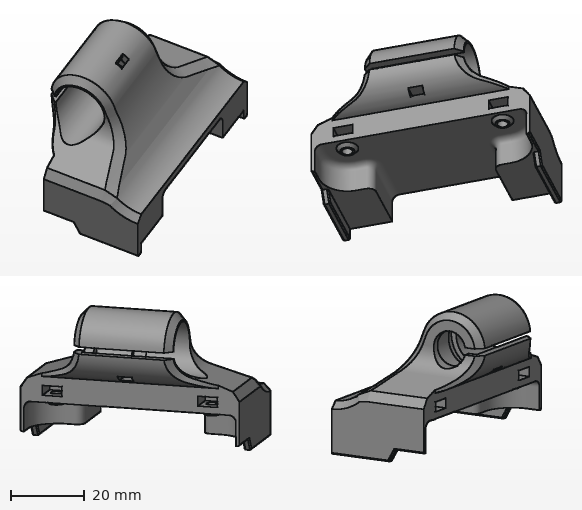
import cadquery as cq
import math

body_left = -2.0
body_right = 27.0
half_length = 31.0
slab_bottom = -17.0
edge_chamfer = 2.0

barrel_radius = 10.0
barrel_half_length = 14.0
bore_radius = 5.0
cavity_radius = 7.5
end_wall = 2.0
slit_width = 2.0

back_start_angle = math.radians(20)
back_join_angle = math.radians(44.1)
back_radius = 40.0

flank_radius = 7.0
flank_slope = math.radians(20)

leg_bottom = -25.5
leg_chamfer = 0.4
screw_inset = 4.0
screw_x = body_left + screw_inset
screw_y = 22.0
leg_wall = 1.0
pocket_radius = half_length - leg_wall - screw_y
pocket_fillet = 2.0
leg_inner_y = 17.0
leg_corner_radius = 2.2

foot_bottom = -29.0
foot_thickness = 2.0
foot_start = 7.0
foot_toe = 9.0

screw_diameter = 3.0
boss_diameter = 6.0
boss_height = 1.0
nut_width = 5.5
nut_slot_height = 2.75
nut_slot_bottom = -15.05

tie_width = 4.0
tie_groove_radius = 9.0
tie_top_left = 4.4
tie_top_right = 6.3
tie_side_top = -7.15
tie_side_bottom = -8.6

over = 5.0
tolerance = 0.01
parallel = 0.999


def circle_point(center, radius, angle):
    """Point on a circle, with the angle taken from the first sketch axis."""
    return (center[0] + radius * math.cos(angle), center[1] + radius * math.sin(angle))


def side_prism():
    """Barrel, back surface and slab as seen along Y."""
    barrel = (0.0, 0.0)
    start = circle_point(barrel, barrel_radius, back_start_angle)
    back_center = circle_point(barrel, barrel_radius + back_radius, back_start_angle)
    back_mid_angle = math.pi + (back_start_angle + back_join_angle) / 2
    back_mid = circle_point(back_center, back_radius, back_mid_angle)
    join = circle_point(back_center, back_radius, math.pi + back_join_angle)

    tail_radius = (body_right - join[0]) / math.cos(back_join_angle)
    tail_center = (body_right, join[1] + tail_radius * math.sin(back_join_angle))
    tail_mid_angle = math.pi + (back_join_angle + math.pi / 2) / 2
    tail_mid = circle_point(tail_center, tail_radius, tail_mid_angle)
    tail_end = (body_right, tail_center[1] - tail_radius)

    barrel_end = (body_left, -math.sqrt(barrel_radius**2 - body_left**2))
    sketch = (
        cq.Workplane("XZ")
        .moveTo(*barrel_end)
        .threePointArc((-barrel_radius, 0), start)
        .threePointArc(back_mid, join)
        .threePointArc(tail_mid, tail_end)
        .lineTo(body_right, slab_bottom)
        .lineTo(body_left, slab_bottom)
        .close()
    )
    return sketch.extrude(half_length + over, both=True)


def flank_prism():
    """Barrel end, flank arc and slope of the +Y half as seen along X."""
    center = (barrel_half_length + flank_radius, 0.0)
    arc_end_angle = 1.5 * math.pi - flank_slope
    arc_mid = circle_point(center, flank_radius, (math.pi + arc_end_angle) / 2)
    arc_end = circle_point(center, flank_radius, arc_end_angle)
    edge_z = arc_end[1] - (half_length - arc_end[0]) * math.tan(flank_slope)
    sketch = (
        cq.Workplane("YZ")
        .moveTo(0, slab_bottom)
        .lineTo(0, barrel_radius + over)
        .lineTo(barrel_half_length, barrel_radius + over)
        .lineTo(barrel_half_length, center[1])
        .threePointArc(arc_mid, arc_end)
        .lineTo(half_length, edge_z)
        .lineTo(half_length, slab_bottom)
        .close()
    )
    return sketch.extrude(body_right + over, both=True)


def is_chamfered(edge):
    """True for the crest edges between the flanks, the barrel, the back and the end faces."""
    middle = edge.positionAt(0.5)
    direction = edge.tangentAt(0.5)
    if abs(direction.y) > parallel:
        return False
    on_middle_plane = abs(middle.y) < tolerance
    on_bottom = middle.z < slab_bottom + tolerance
    on_left_face = abs(middle.x - body_left) < tolerance
    on_right_face = abs(middle.x - body_right) < tolerance
    if on_middle_plane or on_bottom or on_left_face or on_right_face:
        return False
    return abs(direction.x) < parallel or middle.y > half_length - tolerance


def crest():
    """The +Y half of the barrel and slab, with its outer edges chamfered."""
    body = side_prism().intersect(flank_prism())
    edges = [edge for edge in body.edges().vals() if is_chamfered(edge)]
    return body.newObject(edges).chamfer(edge_chamfer)


def end_plate():
    """End wall with its foot, chamfered along the lower edges."""
    sketch = cq.Workplane("XZ", origin=(0, half_length, 0)).polyline(
        [
            (body_left, slab_bottom),
            (body_left, leg_bottom),
            (foot_start, leg_bottom),
            (foot_toe, foot_bottom),
            (body_right, foot_bottom),
            (body_right, slab_bottom),
        ]
    )
    plate = sketch.close().extrude(foot_thickness)
    lower_edges = cq.selectors.BoxSelector(
        (body_left - over, 0, foot_bottom - over),
        (body_right - leg_chamfer, half_length + over, leg_bottom + leg_chamfer),
    )
    return plate.edges(lower_edges).edges("not |Y").chamfer(leg_chamfer)


def leg_block():
    """Solid stock for the leg, from the middle plane to inside the end wall."""
    length = body_right - body_left
    width = half_length - leg_wall
    height = slab_bottom - leg_bottom
    block = cq.Workplane("XY").box(length, width, height, centered=False)
    return block.translate((body_left, 0, leg_bottom))


def underside_void():
    """Open space below the slab: the middle gap and the round pocket around the screw."""
    pocket_middle = math.radians(45)
    corner_middle = math.pi + pocket_middle
    pocket_x = screw_x + pocket_radius
    pocket_y = screw_y + pocket_radius
    corner_x = pocket_x + leg_corner_radius
    corner_y = leg_inner_y + leg_corner_radius
    sketch = (
        cq.Workplane("XY", origin=(0, 0, foot_bottom - over))
        .moveTo(body_left - over, -over)
        .lineTo(body_left - over, pocket_y)
        .lineTo(screw_x, pocket_y)
        .threePointArc(
            circle_point((screw_x, screw_y), pocket_radius, pocket_middle),
            (pocket_x, screw_y),
        )
        .lineTo(pocket_x, corner_y)
        .threePointArc(
            circle_point((corner_x, corner_y), leg_corner_radius, corner_middle),
            (corner_x, leg_inner_y),
        )
        .lineTo(body_right + over, leg_inner_y)
        .lineTo(body_right + over, -over)
        .close()
    )
    void = sketch.extrude(slab_bottom - foot_bottom + over)
    roof_rim = cq.selectors.BoxSelector(
        (body_left - over + tolerance, 0, slab_bottom - tolerance),
        (body_right + over - tolerance, half_length, slab_bottom + tolerance),
    )
    return void.edges(roof_rim).fillet(pocket_fillet)


def screw_boss():
    """Short cone around the screw hole under the slab."""
    cone = cq.Workplane("XY", origin=(screw_x, screw_y, slab_bottom)).circle(boss_diameter / 2)
    return cone.workplane(offset=-boss_height).circle(boss_diameter / 2 - boss_height).loft()


def screw_cuts():
    """Blind screw hole from below and the nut slot opening on the -X face."""
    slot_top = nut_slot_bottom + nut_slot_height
    depth = slot_top - slab_bottom + boss_height
    hole = cq.Workplane("XY", origin=(screw_x, screw_y, slot_top - depth))
    hole = hole.circle(screw_diameter / 2).extrude(depth)
    slot_length = screw_x + nut_width / 2 - body_left
    slot = cq.Workplane("XY")
    slot = slot.box(slot_length, nut_width, nut_slot_height, centered=(False, True, False))
    return hole.union(slot.translate((body_left, screw_y, nut_slot_bottom)))


def half_body():
    """Everything on the +Y side except the barrel bores and the tie path."""
    lower = end_plate().union(leg_block()).cut(underside_void())
    return crest().union(lower).union(screw_boss()).cut(screw_cuts())


def barrel_cuts():
    """Bore through both ends, wide cavity open towards -Y, and the clamping slit."""
    cavity_end = barrel_half_length - end_wall
    bore = cq.Workplane("XZ").circle(bore_radius).extrude(half_length + over, both=True)
    cavity = cq.Workplane("XZ", origin=(0, cavity_end, 0)).circle(cavity_radius)
    cavity = cavity.extrude(cavity_end + half_length + over)
    slit_length = barrel_radius + over
    slit = cq.Workplane("XY").box(slit_length, 2 * half_length, slit_width)
    return bore.union(cavity).union(slit.translate((-slit_length / 2, 0, 0)))


def tie_box(left, right, bottom, top):
    """Box as wide as the cable tie, given by its XZ limits."""
    box = cq.Workplane("XY").box(right - left, tie_width, top - bottom, centered=(False, True, False))
    return box.translate((left, 0, bottom))


def tie_path():
    """Half-round groove on the back of the cavity with its two entry slots."""
    groove = cq.Workplane("XZ").circle(tie_groove_radius).extrude(tie_width / 2, both=True)
    groove = groove.intersect(tie_box(0, barrel_radius, -barrel_radius, barrel_radius))
    top_slot = tie_box(tie_top_left, tie_top_right, 0, barrel_radius)
    side_slot = tie_box(-barrel_radius, 0, tie_side_bottom, tie_side_top)
    return groove.union(top_slot).union(side_slot)


half = half_body()
body = half.union(half.mirror("XZ"))
result = body.cut(barrel_cuts()).cut(tie_path())